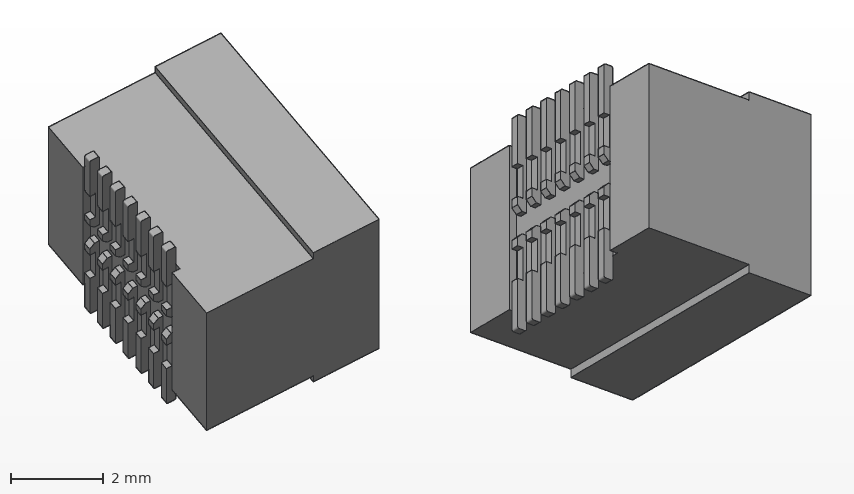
import cadquery as cq

WIDTH = 6.2
BODY_DEPTH = 4.45
BODY_HEIGHT = 4.0
FLANGE_DEPTH = 1.7
FLANGE_HEIGHT = 4.4

CHANNEL_WIDTH = 3.5
CHANNEL_DEPTH = 0.2

CONTACTS_PER_ROW = 7
ROW_SPAN = 3.0
CONTACT_WIDTH = 0.2
TOTAL_DEPTH = 4.5
TOTAL_HEIGHT = 5.2
PAD_INNER_Z = 1.395
TIP_OUTER_Z = 0.6
TIP_INNER_Z = 0.27
TIP_CHAMFER = 0.125
STRIP_THICKNESS = 0.1
PAD_END_RADIUS = 0.05

BODY_FRONT = TOTAL_DEPTH - BODY_DEPTH
CHANNEL_FLOOR = BODY_FRONT + CHANNEL_DEPTH
STRIP_FRONT = CHANNEL_FLOOR - STRIP_THICKNESS
PAD_END_Z = TOTAL_HEIGHT / 2


def block(width, height, y_front, y_back):
    """Box centred on X and Z, spanning the given range of Y."""
    depth = y_back - y_front
    return cq.Workplane("XY").box(width, depth, height).translate((0, y_front + depth / 2, 0))


def make_housing():
    body = block(WIDTH, BODY_HEIGHT, BODY_FRONT, TOTAL_DEPTH)
    flange = block(WIDTH, FLANGE_HEIGHT, TOTAL_DEPTH - FLANGE_DEPTH, TOTAL_DEPTH)
    channel = block(CHANNEL_WIDTH, BODY_HEIGHT, BODY_FRONT, CHANNEL_FLOOR)
    return body.union(flange).cut(channel)


def make_upper_contact():
    """Contact above the middle, centred on X: solder pad, thin strip and raised tip."""
    profile = [
        (CHANNEL_FLOOR, TIP_INNER_Z),
        (TIP_CHAMFER, TIP_INNER_Z),
        (0, TIP_INNER_Z + TIP_CHAMFER),
        (0, TIP_OUTER_Z),
        (STRIP_FRONT, TIP_OUTER_Z),
        (STRIP_FRONT, PAD_INNER_Z),
        (0, PAD_INNER_Z),
        (0, PAD_END_Z),
        (CHANNEL_FLOOR, PAD_END_Z),
    ]
    contact = cq.Workplane("YZ").polyline(profile).close().extrude(CONTACT_WIDTH / 2, both=True)
    return contact.faces(">Z").edges("|X").fillet(PAD_END_RADIUS)


result = make_housing()
upper_contact = make_upper_contact()
lower_contact = upper_contact.mirror("XY")
pitch = ROW_SPAN / (CONTACTS_PER_ROW - 1)
for index in range(CONTACTS_PER_ROW):
    x = index * pitch - ROW_SPAN / 2
    result = result.union(upper_contact.translate((x, 0, 0)))
    result = result.union(lower_contact.translate((x, 0, 0)))